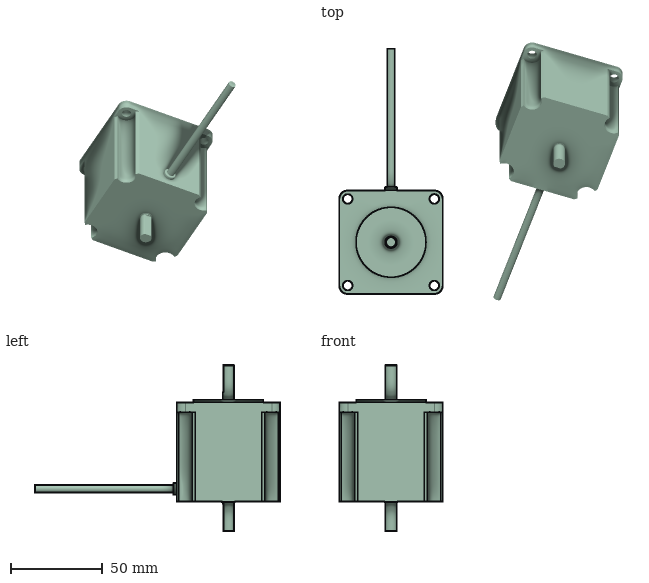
import cadquery as cq


width = 56.4
housing_height = 54.0
flange_thickness = 5.2
body_round_diameter = 67.0
hole_spacing = 47.14
hole_diameter = 5.1
groove_radius = 5.2
corner_radius = (width - hole_spacing) / 2
body_height = housing_height - flange_thickness

pilot_diameter = 38.1
pilot_height = 1.6
collar_diameter = 7.0
collar_height = 0.4

shaft_diameter = 6.35
shaft_top_length = 20.6
shaft_bottom_length = 16.05
shaft_chamfer = 0.5
flat_length = 15.0
flat_offset = 2.65
shaft_top = housing_height + shaft_top_length
shaft_bottom = -shaft_bottom_length

cable_diameter = 4.2
cable_length = 77.1
cable_height = 7.0
grommet_diameter = 6.6
grommet_length = 1.9
grommet_fillet = 0.6


def cylinder(diameter, bottom, height):
    """Upright cylinder on the motor axis."""
    return cq.Workplane("XY").workplane(offset=bottom).circle(diameter / 2).extrude(height)


def at_corners(bottom):
    """Workplane with a point at each of the four mounting hole centres."""
    plane = cq.Workplane("XY").workplane(offset=bottom)
    return plane.rect(hole_spacing, hole_spacing, forConstruction=True).vertices()


def make_flange():
    plate = cq.Workplane("XY").workplane(offset=body_height)
    plate = plate.rect(width, width).extrude(flange_thickness)
    plate = plate.edges("|Z").fillet(corner_radius)
    holes = at_corners(body_height).circle(hole_diameter / 2).extrude(flange_thickness)
    return plate.cut(holes)


def make_body():
    """Square body with rounded-off corners, grooved below each mounting hole."""
    body = cq.Workplane("XY").rect(width, width).extrude(body_height)
    body = body.intersect(cylinder(body_round_diameter, 0, body_height))
    grooves = at_corners(0).circle(groove_radius).extrude(body_height)
    return body.cut(grooves)


def make_shaft():
    shaft = cylinder(shaft_diameter, shaft_bottom, shaft_top - shaft_bottom)
    shaft = shaft.faces(">Z").chamfer(shaft_chamfer)
    for flat_bottom in (shaft_bottom, shaft_top - flat_length):
        flat_cut = cq.Workplane("XY").box(
            shaft_diameter, shaft_diameter, flat_length, centered=(True, False, False)
        )
        shaft = shaft.cut(flat_cut.translate((0, flat_offset, flat_bottom)))
    return shaft


def make_cable():
    """Cable and grommet, both starting on the +Y face of the body."""
    exit_plane = cq.Plane(origin=(0, width / 2, cable_height), xDir=(1, 0, 0), normal=(0, 1, 0))
    grommet = cq.Workplane(exit_plane).circle(grommet_diameter / 2).extrude(grommet_length)
    grommet = grommet.faces(">Y").fillet(grommet_fillet)
    cable = cq.Workplane(exit_plane).circle(cable_diameter / 2).extrude(cable_length)
    return grommet.union(cable)


pilot = cylinder(pilot_diameter, housing_height, pilot_height)
collar = cylinder(collar_diameter, -collar_height, collar_height)

result = make_body().union(make_flange()).union(pilot).union(collar)
result = result.union(make_shaft()).union(make_cable())